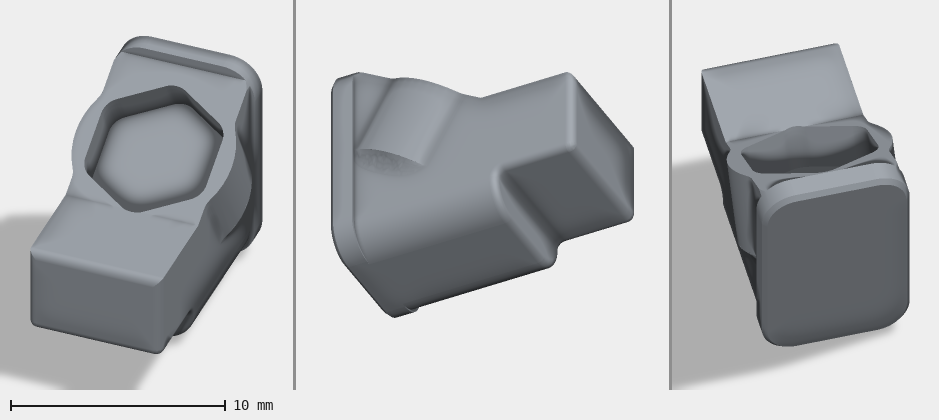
import cadquery as cq
import math

plate_width = 7.11
plate_height = 10.7
plate_thickness = 1.2
plate_chamfer = 0.21
corner_radius = 1.6

body_width = 6.63
body_length = 12.6
block_top = 6.39
block_bottom = 1.97
foot_length = 8.59
edge_radius = 0.34
front_radius = 0.4

slope_angle = 30
slope_end = 7.8

boss_diameter = 7.8
boss_depth = 4.02
boss_center_depth = 5.0
boss_blend_radius = 1.0
blend_embed = 0.06
blend_sections = 13
blend_reach = 0.9

hex_across_flats = 6.05
hex_depth = 2.0
hex_corner_radius = 1.0

half_width = body_width / 2
boss_radius = boss_diameter / 2

blend_x = half_width + boss_blend_radius
blend_y = math.sqrt((boss_radius + boss_blend_radius) ** 2 - blend_x**2)
blend_angle = math.atan2(blend_y, blend_x)
touch_x = boss_radius * math.cos(blend_angle)
touch_y = boss_radius * math.sin(blend_angle)

slope = math.tan(math.radians(slope_angle))


def slope_height(distance):
    """Height of the sloped face at a distance in front of the rear face."""
    return block_top + (slope_end - distance) * slope


def rounded_plate(length):
    """Rounded rectangle of the rear plate, extruded forward from Y = 0."""
    return (
        cq.Workplane("XZ")
        .center(0, plate_height / 2)
        .rect(plate_width, plate_height)
        .extrude(length)
        .edges("|Y")
        .fillet(corner_radius)
    )


def make_body():
    """Stepped wedge with a rounded foot."""
    side_outline = [
        (0, 0),
        (-foot_length, 0),
        (-foot_length, block_bottom),
        (-body_length, block_bottom),
        (-body_length, block_top),
        (-slope_end, block_top),
        (0, slope_height(0)),
    ]
    body = (
        cq.Workplane("YZ")
        .polyline(side_outline)
        .close()
        .extrude(half_width, both=True)
    )
    body = body.edges("|Y and <Z").fillet(corner_radius)
    step_corner = cq.selectors.NearestToPointSelector((0, -foot_length, block_bottom))
    body = body.edges(step_corner).fillet(edge_radius)
    foot_edge = cq.selectors.NearestToPointSelector((0, -foot_length, 0))
    body = body.edges(foot_edge).fillet(edge_radius)
    return body.faces("<Y").edges().fillet(front_radius)


def slope_plane(depth=0):
    """Plane parallel to the sloped face at a depth below it, centred on the boss."""
    angle = math.radians(slope_angle)
    normal = (0, -math.sin(angle), math.cos(angle))
    center = cq.Vector(0, -boss_center_depth, slope_height(boss_center_depth))
    return cq.Plane(origin=center - cq.Vector(*normal) * depth, xDir=(1, 0, 0), normal=normal)


def boss_overhang(offset):
    """Distance the boss stands out of the body side, at an offset along the slope."""
    offset = abs(offset)
    if offset < touch_y:
        return math.sqrt(boss_radius**2 - offset**2) - half_width
    return boss_blend_radius - math.sqrt(boss_blend_radius**2 - (blend_y - offset) ** 2)


def make_boss():
    """Round boss, joined to the flat body sides by concave blends."""
    mid_x = blend_x - boss_blend_radius * math.cos(blend_angle / 2)
    mid_y = blend_y - boss_blend_radius * math.sin(blend_angle / 2)
    return (
        cq.Workplane(slope_plane(boss_depth))
        .moveTo(half_width, -blend_y)
        .threePointArc((mid_x, -mid_y), (touch_x, -touch_y))
        .threePointArc((boss_radius, 0), (touch_x, touch_y))
        .threePointArc((mid_x, mid_y), (half_width, blend_y))
        .lineTo(-half_width, blend_y)
        .threePointArc((-mid_x, mid_y), (-touch_x, touch_y))
        .threePointArc((-boss_radius, 0), (-touch_x, -touch_y))
        .threePointArc((-mid_x, -mid_y), (-half_width, -blend_y))
        .close()
        .extrude(boss_depth)
    )


def under_blend_section(side, offset):
    """Cross-section of the concave blend below the boss rim, at an offset along the slope."""
    plane = slope_plane(boss_depth)
    overhang = boss_overhang(offset)
    radius = boss_blend_radius
    drop = math.sqrt(radius**2 - (radius - overhang) ** 2)
    arc_angle = math.acos((radius - overhang) / radius) / 2
    mid_overhang = radius * (1 - math.cos(arc_angle))
    mid_drop = drop - radius * math.sin(arc_angle)
    inner_x = half_width - blend_embed

    def point(x, depth):
        return plane.toWorldCoords((side * x, offset, -depth))

    rim = point(half_width + overhang, -blend_embed)
    rim_bottom = point(half_width + overhang, 0)
    wall = point(half_width, drop)
    edges = [
        cq.Edge.makeLine(point(inner_x, -blend_embed), rim),
        cq.Edge.makeLine(rim, rim_bottom),
        cq.Edge.makeThreePointArc(rim_bottom, point(half_width + mid_overhang, mid_drop), wall),
        cq.Edge.makeLine(wall, point(inner_x, drop)),
        cq.Edge.makeLine(point(inner_x, drop), point(inner_x, -blend_embed)),
    ]
    return cq.Wire.assembleEdges(edges)


def make_under_blend(side):
    """Concave blend that carries the lower rim of the boss into one body side."""
    end_angle = math.pi / 2 * blend_reach
    sections = []
    for index in range(blend_sections):
        angle = end_angle * (2 * index / (blend_sections - 1) - 1)
        sections.append(under_blend_section(side, blend_y * math.sin(angle)))
    return cq.Workplane(cq.Solid.makeLoft(sections, False))


def make_pocket():
    """Hexagonal pocket with rounded corners, two corners pointing up and down the slope."""
    hex_diameter = hex_across_flats / math.cos(math.pi / 6)
    cutter = (
        cq.Workplane(slope_plane(hex_depth))
        .transformed(rotate=(0, 0, 90))
        .polygon(6, hex_diameter)
        .extrude(2 * hex_depth)
    )
    axis = slope_plane().zDir
    return cutter.edges(cq.selectors.ParallelDirSelector(axis)).fillet(hex_corner_radius)


front_space = (
    cq.Workplane("XZ", origin=(0, -plate_thickness / 2, 0))
    .rect(2 * body_length, 2 * body_length)
    .extrude(body_length)
)

plate = rounded_plate(plate_thickness).faces(">Y").edges().chamfer(plate_chamfer)
body = make_body().intersect(rounded_plate(body_length))
boss = make_boss()
for side in (-1, 1):
    boss = boss.union(make_under_blend(side))
result = plate.union(body.intersect(front_space)).union(boss.intersect(front_space)).cut(make_pocket())